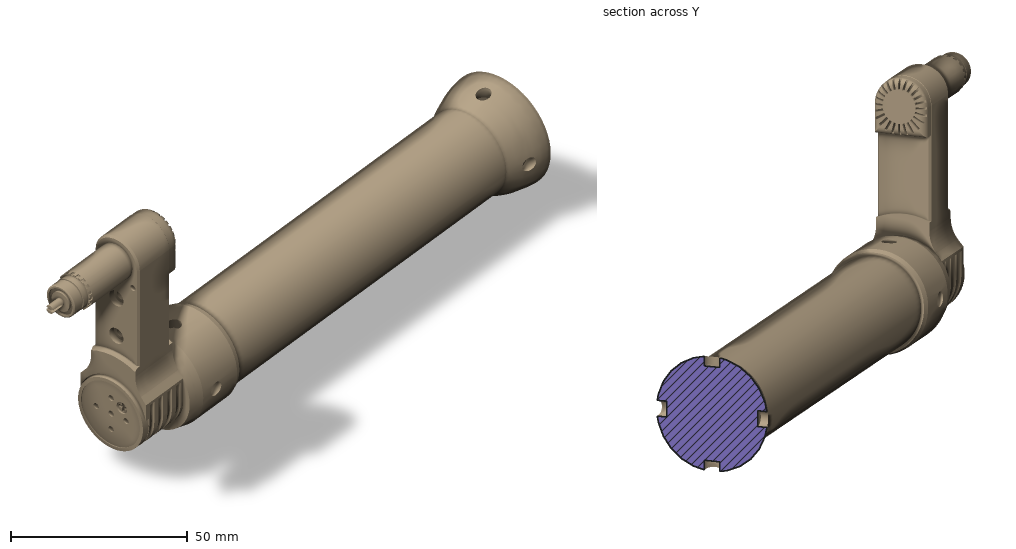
import cadquery as cq
import math


flare_radius = 18.2
flare_lip = 0.9
flare_length = 14.6
flare_bulge_radius = 16.9
tube_radius = 14.0
collar_radius = 15.5
collar_start_radius = 14.9
collar_end_radius = 14.4
collar_at = 133.9
collar_chamfer = 1.7
collar_shoulder_at = 150.6
collar_end = 155.3
grip_hole_diameter = 4.5
grip_hole_depth = 3.0
flare_hole_at = 7.8
collar_hole_at = 144.9

arm_half_width = 8.1
housing_radius = 12.0
housing_end = 170.4
cover_end = 171.8
neck_shoulder_z = 19.0
neck_top_z = 20.7
neck_edge_chamfer = 0.8
flank_top_z = 16.4
flank_bend_x = 10.2
flank_bend_z = 10.3
flank_bottom_z = 8.2
groove_count = 4
groove_at = 156.4
groove_width = 2.0
groove_pitch = 3.9
groove_depth = 0.9
groove_top_z = 7.3
groove_flat_z = 4.3
disc_clearance = 0.4
block_size = 4 * housing_radius

disc_radius = 11.9
disc_end = 173.0
disc_rim_width = 1.1
disc_rim_drop = 0.3
disc_hole_diameter = 1.9
disc_hole_offset = 5.5
disc_hole_depth = 2.0
screw_offset = 3.9
screw_diameter = 3.8
screw_recess_depth = 0.6
screw_slot_length = 3.4
screw_slot_width = 0.9
screw_slot_depth = 0.6

overall_height = 79.18
top_z = overall_height - flare_radius
arm_axis_z = top_z - arm_half_width
arm_at = 156.3
arm_end = housing_end
arm_edge_chamfer = 0.6
arm_screw_heights = (26.3, 39.6)
arm_screw_diameter = 5.2
arm_screw_depth = 2.0
arm_bore_diameter = 3.0
arm_bore_depth = 3.0
arm_core_diameter = 1.3
arm_core_depth = 4.0
arm_pin_diameter = 1.9
arm_pin_x = 6.1
arm_pin_z = 46.2
arm_pin_depth = 2.0

cap_half_width = arm_half_width - 0.1
cap_at = 152.5
cap_bottom_z = 44.2
cap_edge_radius = 2.1
rib_groove_count = 24
rib_groove_width = 0.7
rib_groove_depth = 1.5
rib_inner_radius = 5.0
rib_outer_radius = 8.5

barrel_radius = 5.85
barrel_end = 189.1
notch_count = 18
notch_length = 1.2
notch_width = 1.0
notch_depth = 0.4
plug_radius = 5.2
plug_end = 195.2
plug_groove_at = 191.2
plug_groove_width = 0.5
plug_groove_radius = 4.9
plug_edge_chamfer = 0.3
ring_groove_inner_radius = 3.2
ring_groove_outer_radius = 4.4
ring_groove_depth = 0.8
stem_radius = 1.35
stem_bore_radius = 0.5
stem_bore_depth = 3.0
stem_slot_width = 0.8
stem_slot_length = 4.0
overall_length = 199.9


def plane_at(distance):
    """XZ work plane facing -Y at the given distance from the flared end."""
    return cq.Workplane("XZ", origin=(0, -distance, 0))


def cylinder(start, end, radius, x=0, z=0):
    return plane_at(start).center(x, z).circle(radius).extrude(end - start)


def tombstone(start, end, half_width, axis_z, bottom_z):
    """Plate with a round top about axis_z and straight sides down to bottom_z."""
    return (
        plane_at(start)
        .moveTo(-half_width, bottom_z)
        .lineTo(-half_width, axis_z)
        .threePointArc((0, axis_z + half_width), (half_width, axis_z))
        .lineTo(half_width, bottom_z)
        .close()
        .extrude(end - start)
    )


def make_handle():
    """Flare, tube and collar turned about the Y axis, with four grip holes in each end."""
    handle = (
        cq.Workplane("XY")
        .lineTo(flare_radius, 0)
        .lineTo(flare_radius, -flare_lip)
        .threePointArc((flare_bulge_radius, -(flare_lip + flare_length) / 2), (tube_radius, -flare_length))
        .lineTo(tube_radius, -collar_at)
        .lineTo(collar_start_radius, -collar_at)
        .lineTo(collar_radius, -collar_at - collar_chamfer)
        .lineTo(collar_radius, -collar_shoulder_at)
        .lineTo(collar_end_radius, -collar_end)
        .lineTo(0, -collar_end)
        .close()
        .revolve(360, (0, 0, 0), (0, 1, 0))
    )
    for distance, outer_radius in ((flare_hole_at, flare_bulge_radius), (collar_hole_at, collar_radius)):
        hole = (
            cq.Workplane("XY", origin=(0, -distance, outer_radius - grip_hole_depth))
            .circle(grip_hole_diameter / 2)
            .extrude(2 * grip_hole_depth)
        )
        for quarter in range(4):
            handle = handle.cut(hole.rotate((0, 0, 0), (0, 1, 0), 90 * quarter))
    return handle


def flank_curve_point():
    """Point midway along the concave arc that leaves the neck vertically."""
    run = flank_bend_x - arm_half_width
    drop = flank_top_z - flank_bend_z
    radius = (run**2 + drop**2) / (2 * run)
    half_turn = math.atan2(run, drop)
    x = arm_half_width + radius * (1 - math.cos(half_turn))
    return x, flank_top_z - radius * math.sin(half_turn)


def housing_outline(start):
    mid_x, mid_z = flank_curve_point()
    return (
        plane_at(start)
        .moveTo(-arm_half_width, neck_shoulder_z)
        .threePointArc((0, neck_top_z), (arm_half_width, neck_shoulder_z))
        .lineTo(arm_half_width, flank_top_z)
        .threePointArc((mid_x, mid_z), (flank_bend_x, flank_bend_z))
        .lineTo(housing_radius, flank_bottom_z)
        .lineTo(housing_radius, 0)
        .threePointArc((0, -housing_radius), (-housing_radius, 0))
        .lineTo(-housing_radius, flank_bottom_z)
        .lineTo(-flank_bend_x, flank_bend_z)
        .threePointArc((-mid_x, mid_z), (-arm_half_width, flank_top_z))
        .close()
    )


def make_housing():
    """Housing with a front cover above the axis and grip grooves around its sides and bottom."""
    housing = housing_outline(collar_end).extrude(housing_end - collar_end)
    core_radius = housing_radius - groove_depth
    flat_half_width = math.sqrt(core_radius**2 - groove_flat_z**2)
    for index in range(groove_count):
        start = groove_at + index * groove_pitch
        flat = (
            plane_at(start)
            .center(0, groove_top_z / 2)
            .rect(2 * flat_half_width, groove_top_z)
            .extrude(groove_width)
        )
        groove = (
            plane_at(start)
            .rect(block_size, block_size)
            .extrude(groove_width)
            .cut(flat)
            .cut(cylinder(start, start + groove_width, core_radius))
        )
        lower_region = (
            plane_at(start)
            .center(0, groove_top_z - block_size / 2)
            .rect(block_size, block_size)
            .extrude(groove_width)
        )
        housing = housing.cut(groove.intersect(lower_region))

    cover_region = (
        plane_at(housing_end)
        .center(0, block_size / 2)
        .rect(block_size, block_size)
        .extrude(cover_end - housing_end)
    )
    cover = housing_outline(housing_end).extrude(cover_end - housing_end).intersect(cover_region)
    cover = cover.faces("<Y").edges(">Z").chamfer(neck_edge_chamfer)
    cover = cover.cut(cylinder(housing_end, cover_end, disc_radius + disc_clearance))
    return housing.union(cover)


def make_disc():
    """Rimmed end disc with five small holes and one cross-slotted screw."""
    disc = cylinder(housing_end, disc_end, disc_radius)
    face_at = disc_end - disc_rim_drop
    disc = disc.cut(cylinder(face_at, disc_end, disc_radius - disc_rim_width))
    hole_places = [(0, 0)]
    for quarter in range(4):
        angle = math.radians(90 * quarter)
        hole_places.append((disc_hole_offset * math.cos(angle), disc_hole_offset * math.sin(angle)))
    for x, z in hole_places:
        disc = disc.cut(cylinder(face_at - disc_hole_depth, face_at, disc_hole_diameter / 2, x, z))

    recess_floor = face_at - screw_recess_depth
    disc = disc.cut(cylinder(recess_floor, face_at, screw_diameter / 2, screw_offset, screw_offset))
    slot_floor = plane_at(recess_floor - screw_slot_depth).center(screw_offset, screw_offset)
    disc = disc.cut(slot_floor.rect(screw_slot_length, screw_slot_width).extrude(screw_slot_depth))
    return disc.cut(slot_floor.rect(screw_slot_width, screw_slot_length).extrude(screw_slot_depth))


def make_arm():
    """Upright arm with a round top, two stepped holes and two pin holes in its front."""
    arm = tombstone(arm_at, arm_end, arm_half_width, arm_axis_z, 0)
    arm = arm.faces("<Y or >Y").chamfer(arm_edge_chamfer)
    steps = (
        (arm_screw_diameter, arm_screw_depth),
        (arm_bore_diameter, arm_bore_depth),
        (arm_core_diameter, arm_core_depth),
    )
    for z in arm_screw_heights:
        for diameter, depth in steps:
            arm = arm.cut(cylinder(arm_end - depth, arm_end, diameter / 2, 0, z))
    for x in (-arm_pin_x, arm_pin_x):
        arm = arm.cut(cylinder(arm_end - arm_pin_depth, arm_end, arm_pin_diameter / 2, x, arm_pin_z))
    return arm


def make_cap():
    """Cap behind the arm top, rounded at the back and cut with a ring of radial grooves."""
    cap = tombstone(cap_at, arm_at + arm_edge_chamfer, cap_half_width, arm_axis_z, cap_bottom_z)
    cap = cap.faces(">Y").edges().fillet(cap_edge_radius)
    groove = (
        plane_at(cap_at)
        .center((rib_inner_radius + rib_outer_radius) / 2, arm_axis_z)
        .rect(rib_outer_radius - rib_inner_radius, rib_groove_width)
        .extrude(rib_groove_depth)
    )
    for index in range(rib_groove_count):
        angle = 360 / rib_groove_count * index
        cap = cap.cut(groove.rotate((0, 0, arm_axis_z), (0, 1, arm_axis_z), angle))
    return cap


def make_connector():
    """Barrel with a notched end, a grooved plug and a thin split stem."""
    barrel = cylinder(arm_end - arm_edge_chamfer, barrel_end, barrel_radius, 0, arm_axis_z)
    notch = (
        plane_at(barrel_end - notch_length)
        .center(barrel_radius, arm_axis_z)
        .rect(2 * notch_depth, notch_width)
        .extrude(notch_length)
    )
    for index in range(notch_count):
        angle = 360 / notch_count * index
        barrel = barrel.cut(notch.rotate((0, 0, arm_axis_z), (0, 1, arm_axis_z), angle))

    plug = cylinder(barrel_end, plug_end, plug_radius, 0, arm_axis_z)
    plug = plug.faces("<Y").chamfer(plug_edge_chamfer)
    groove_end = plug_groove_at + plug_groove_width
    groove = cylinder(plug_groove_at, groove_end, 2 * plug_radius, 0, arm_axis_z)
    groove = groove.cut(cylinder(plug_groove_at, groove_end, plug_groove_radius, 0, arm_axis_z))
    plug = plug.cut(groove)
    ring_start = plug_end - ring_groove_depth
    ring = cylinder(ring_start, plug_end, ring_groove_outer_radius, 0, arm_axis_z)
    ring = ring.cut(cylinder(ring_start, plug_end, ring_groove_inner_radius, 0, arm_axis_z))
    plug = plug.cut(ring)

    stem = cylinder(plug_end, overall_length, stem_radius, 0, arm_axis_z)
    bore_start = overall_length - stem_bore_depth
    stem = stem.cut(cylinder(bore_start, overall_length, stem_bore_radius, 0, arm_axis_z))
    slot = (
        plane_at(overall_length - stem_slot_length)
        .center(0, arm_axis_z)
        .rect(4 * stem_radius, stem_slot_width)
        .extrude(stem_slot_length)
    )
    stem = stem.cut(slot)
    return barrel.union(plug).union(stem)


result = (
    make_handle()
    .union(make_housing())
    .union(make_disc())
    .union(make_arm())
    .union(make_cap())
    .union(make_connector())
)